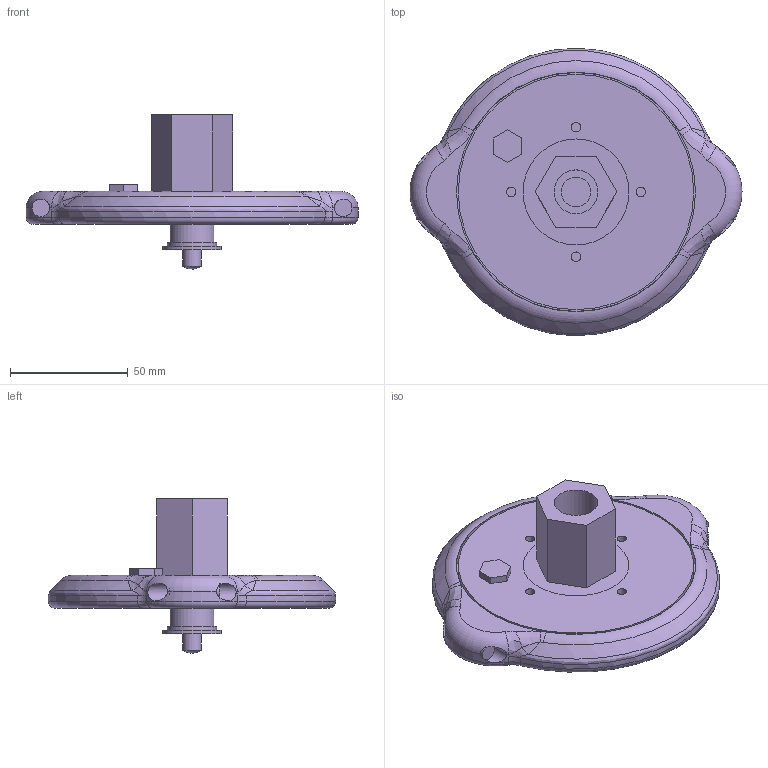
import cadquery as cq
import math

cover_height = 14.0
cover_radius = 61.0
bevel_foot_height = 6.75
bevel_size = cover_height - bevel_foot_height
lug_reach = 70.5
lug_radius = 22.5
lug_center_x = lug_reach - lug_radius
lug_blend_radius = 8.0
top_round = 7.0
bottom_round = 3.0
flat_edge_limit = 0.1

groove_inner_radius = 50.0
groove_outer_radius = 50.75
groove_depth = 3.0

cord_hole_diameter = 7.5
cord_hole_x = 64.2
cord_hole_z = cover_height / 2
plug_front_y = -11.7
plug_back_y = 9.5

small_hole_diameter = 4.0
small_hole_depth = groove_depth
small_hole_count = 4
small_hole_circle_radius = 27.5

bolt_flats = 12.0
bolt_height = 3.0
bolt_turn = 30.0
bolt_x = -29.2
bolt_y = 19.45

plug_diameter = 44.99
hexagon_flats = 30.0
hexagon_height = 32.5
hub_top = cover_height + hexagon_height
stem_diameter = 18.63
collar_diameter = 20.96
collar_top = -7.6
flange_diameter = 25.0
flange_top = -9.2
flange_bottom = -10.7
tip_diameter = 8.0
tip_shoulder = -17.8
tip_end = -19.0

socket_diameter = 18.63
socket_depth = 15.0
bore_diameter = 12.5
bore_depth = hexagon_height


def cylinder(diameter, bottom, top):
    return cq.Workplane("XY").workplane(offset=bottom).circle(diameter / 2).extrude(top - bottom)


def hexagon(across_flats, bottom, top):
    """Hexagonal prism on the Z axis, with two corners on the X axis."""
    across_corners = across_flats / math.cos(math.pi / 6)
    return cq.Workplane("XY").workplane(offset=bottom).polygon(6, across_corners).extrude(top - bottom)


def lug_rod(x, front_y, back_y):
    """Rod along Y with the cord hole's diameter and height."""
    rod = cq.Workplane("XZ").circle(cord_hole_diameter / 2).extrude(front_y - back_y)
    return rod.translate((x, front_y, cord_hole_z))


def make_base():
    """Round base with a wide bevel whose lower edge is rounded."""
    base = cylinder(2 * cover_radius, 0, cover_height).faces(">Z").chamfer(bevel_size)
    bevel_foot = cq.selectors.NearestToPointSelector((0, cover_radius, bevel_foot_height))
    return base.edges("%CIRCLE").edges(bevel_foot).fillet(bottom_round)


def make_cover_blank():
    """Base and lugs as one, with the corners blended and both rims rounded."""
    blank = make_base()
    for side in (-1, 1):
        lug = cylinder(2 * lug_radius, 0, cover_height)
        blank = blank.union(lug.translate((side * lug_center_x, 0, 0)))
    corners = [edge for edge in blank.edges().vals() if edge.BoundingBox().zlen > flat_edge_limit]
    blank = blank.newObject(corners).fillet(lug_blend_radius)
    blank = blank.faces(">Z").edges().fillet(top_round)
    return blank.faces("<Z").edges().fillet(bottom_round)


def make_groove():
    groove_bottom = cover_height - groove_depth
    outside = cylinder(2 * groove_outer_radius, groove_bottom, cover_height)
    return outside.cut(cylinder(2 * groove_inner_radius, groove_bottom, cover_height))


def make_small_holes():
    return (
        cq.Workplane("XY")
        .workplane(offset=cover_height - small_hole_depth)
        .polarArray(small_hole_circle_radius, 0, 360, small_hole_count)
        .circle(small_hole_diameter / 2)
        .extrude(small_hole_depth)
    )


def make_bolt_head():
    head = hexagon(bolt_flats, cover_height, cover_height + bolt_height)
    return head.rotate((0, 0, 0), (0, 0, 1), bolt_turn).translate((bolt_x, bolt_y, 0))


def make_cover():
    cover = make_cover_blank().cut(make_groove()).cut(make_small_holes())
    for side in (-1, 1):
        x = side * cord_hole_x
        cover = cover.cut(lug_rod(x, -lug_radius, lug_radius))
        cover = cover.union(lug_rod(x, plug_front_y, plug_back_y))
    cover = cover.union(make_bolt_head())
    return cover.cut(cylinder(plug_diameter, 0, cover_height))


def make_tip():
    """Round tip below the flange, with a domed end."""
    tip_radius = tip_diameter / 2
    dome_height = tip_shoulder - tip_end
    dome_radius = (tip_radius**2 + dome_height**2) / (2 * dome_height)
    dome_center_z = tip_end + dome_radius
    half_angle = math.asin(tip_radius / dome_radius) / 2
    dome_middle = (
        dome_radius * math.sin(half_angle),
        dome_center_z - dome_radius * math.cos(half_angle),
    )
    return (
        cq.Workplane("XZ")
        .moveTo(0, flange_bottom)
        .lineTo(tip_radius, flange_bottom)
        .lineTo(tip_radius, tip_shoulder)
        .threePointArc(dome_middle, (0, tip_end))
        .close()
        .revolve(360, (0, 0, 0), (0, 1, 0))
    )


def make_hub():
    hub = cylinder(plug_diameter, 0, cover_height)
    hub = hub.union(hexagon(hexagon_flats, cover_height, hub_top))
    hub = hub.union(cylinder(stem_diameter, collar_top, 0))
    hub = hub.union(cylinder(collar_diameter, flange_top, collar_top))
    hub = hub.union(cylinder(flange_diameter, flange_bottom, flange_top))
    hub = hub.union(make_tip())
    hub = hub.cut(cylinder(socket_diameter, hub_top - socket_depth, hub_top))
    return hub.cut(cylinder(bore_diameter, hub_top - bore_depth, hub_top))


cover = make_cover().solids()
hub = make_hub().solids()
result = cq.Compound.makeCompound([cover.val(), hub.val()])